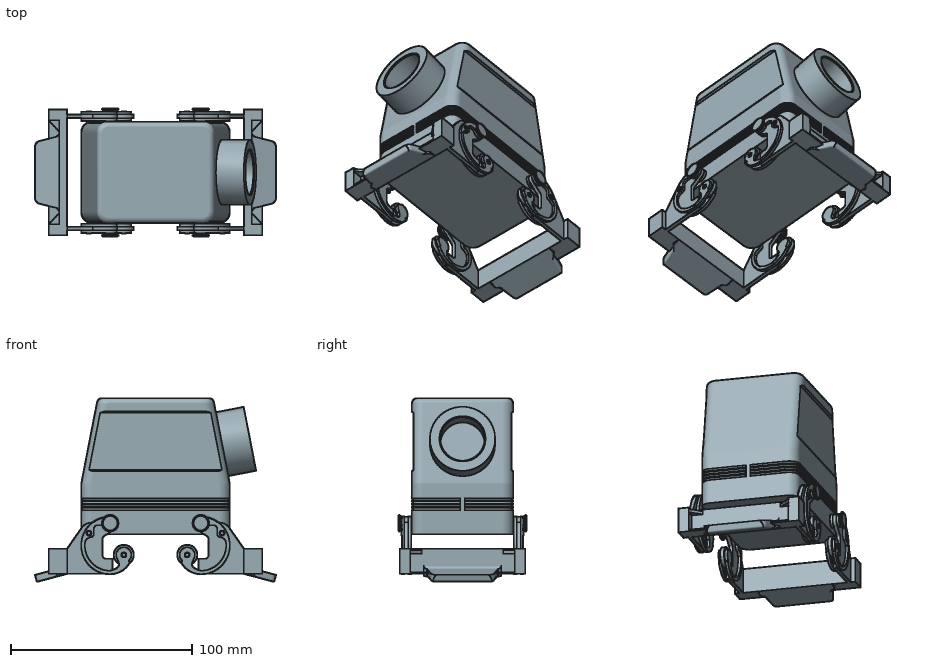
import math

import cadquery as cq


SELECT_MARGIN = 0.1

HOOD_LENGTH = 82.0
HOOD_WIDTH = 56.0
HOOD_BOTTOM = 21.8
HOOD_TOP = 97.0
HOOD_CORNER_RADIUS = 6.0
HOOD_TOP_RADIUS = 3.0
TAPER_START = 50.0
TAPER_ANGLE = 11.0
TAPER_BLEND_RADIUS = 5.0

RECESS_DEPTH = 0.9
RECESS_BOTTOM = 56.6
RECESS_TOP = 89.7

GROOVE_COUNT = 4
GROOVE_RADIUS = 0.6
GROOVE_PITCH = 1.8
GROOVE_FIRST_Z = 35.8
GROOVE_GAP = 2.5

COLLAR_DIAMETER = 36.0
COLLAR_LENGTH = 15.6
COLLAR_HEIGHT_ON_FACE = 22.0
COLLAR_ROOT = 5.0
BORE_DIAMETER = 24.4
BORE_CHAMFER = 0.55

BAR_OUTER_X = 59.0
BAR_INNER_X = 48.8
BAR_WIDTH = 69.4
BAR_HEIGHT = 13.9
POCKET_DEPTH = 6.0
POCKET_WIDTH = 57.5
POCKET_FLOOR = 0.9
GUSSET_BOTTOM = 11.15
GUSSET_THICKNESS = 1.85
GUSSET_LENGTH = 6.4

TAB_ANGLE = 15.0
TAB_TIP_X = 66.53
TAB_THICKNESS = 4.1
TAB_ROOT_WIDTH = 40.0
TAB_TIP_WIDTH = 33.6
TAB_CORNER_RADIUS = 3.5
TAB_EDGE_RADIUS = 1.0
TAB_FLARE_LENGTH = 1.5
TAB_FLARE_WIDTH = 1.8
TAB_ROOT_FILLET = 1.7

PLATE_INNER_Y = 29.9
PLATE_OUTER_Y = 32.05
CHEEK_INNER_Y = 28.25
CHEEK_OUTER_Y = 33.5

SLOPE_END = (-40.9, 25.3)
SHOULDER_MID = (-38.4, 27.5)
SHOULDER_END_X = -34.5
NOTCH_TOP_START = (-23.0, 24.4)
NOTCH_TOP_Z = 20.2
NOTCH_BACK_X = -29.2
NOTCH_FLOOR_Z = 8.4
NOTCH_TOE_X = -23.7
NOTCH_RADIUS = 2.0

LEVER_X = 25.0
CHEEK_RADIUS = 16.0
CHEEK_CENTRE_Z = 15.75
CHEEK_RIM = 2.0
PLATE_RADIUS = 15.8
PIVOT_Z = 28.0
LUG_RADIUS = CHEEK_CENTRE_Z + CHEEK_RADIUS - PIVOT_Z

HOOK_OUTER_MID = (-18.0, 2.0)
HOOK_OUTER_END = (-14.1, 6.4)
HOOK_THROAT_TOP = (-20.9, 7.6)
HOOK_THROAT_MID = (-20.2, 6.2)
HOOK_THROAT_BOTTOM = (-21.4, 3.2)
RIM_INNER_MID = (-36.0, 7.1)
RIM_INNER_END = (-38.8, 18.0)
RIVET_PAD_ENTRY = (-37.6, 19.5)
RIVET_PAD_BOTTOM = (-35.6, 20.2)
RIVET_PAD_MID = (-34.4, 21.0)
RIVET_PAD_SIDE = (-34.0, 22.6)
BAND_CORNER_Z = 24.9
BAND_CORNER_MID = (-33.4, 26.3)
BAND_CORNER_X = -32.0
BAND_BOTTOM_Z = 26.9

ROLLER_X = 17.5
ROLLER_Z = 10.5
ROLLER_RADIUS = 5.6
ROLLER_CHEEK_RADIUS = 4.2

PIN_RADIUS = 2.7
PIN_EMBEDMENT = 1.0
PIN_ROOT_Y = HOOD_WIDTH / 2 - PIN_EMBEDMENT
PIN_HEAD_RADIUS = 4.6
PIN_HEAD_BOTTOM_Y = 34.2
PIN_HEAD_CHAMFER = 0.6
PIN_END_Y = 35.5
RIVET_RADIUS = 1.4
RIVET_HEIGHT = 0.35
RIVET_CHAMFER = 0.3
RIVET_X = 36.7
RIVET_Z = 22.5


def slab(profile, inner_y, outer_y):
    """Extrude a closed XZ profile between two distances on the -Y side."""
    return profile.extrude(outer_y - inner_y).translate((0, -inner_y, 0))


def disc(x, z, radius, inner_y, outer_y):
    return slab(cq.Workplane("XZ").center(x, z).circle(radius), inner_y, outer_y)


def make_hood_block():
    half = HOOD_LENGTH / 2
    inset = (HOOD_TOP - TAPER_START) * math.tan(math.radians(TAPER_ANGLE))
    block = (
        cq.Workplane("XZ")
        .polyline(
            [
                (-half, HOOD_BOTTOM),
                (half, HOOD_BOTTOM),
                (half, TAPER_START),
                (half - inset, HOOD_TOP),
                (inset - half, HOOD_TOP),
                (-half, TAPER_START),
            ]
        )
        .close()
        .extrude(HOOD_WIDTH / 2, both=True)
    )
    break_box = cq.selectors.BoxSelector(
        (-half - SELECT_MARGIN, -HOOD_WIDTH, TAPER_START - SELECT_MARGIN),
        (half + SELECT_MARGIN, HOOD_WIDTH, TAPER_START + SELECT_MARGIN),
    )
    block = block.edges("|Y").edges(break_box).fillet(TAPER_BLEND_RADIUS)
    block = block.faces("<Y or >Y").edges("not(#Z)").fillet(HOOD_CORNER_RADIUS)
    return block.faces(">Z").edges().fillet(HOOD_TOP_RADIUS)


def cut_recesses(hood):
    """Cut a flat panel with 45 degree ends into both broad sides."""
    face_y = HOOD_WIDTH / 2
    floor_y = face_y - RECESS_DEPTH
    cutter = (
        cq.Workplane("YZ")
        .polyline(
            [
                (-face_y, RECESS_BOTTOM),
                (-floor_y, RECESS_BOTTOM + RECESS_DEPTH),
                (-floor_y, RECESS_TOP - RECESS_DEPTH),
                (-face_y, RECESS_TOP),
            ]
        )
        .close()
        .extrude(HOOD_LENGTH / 2, both=True)
    )
    return hood.cut(cutter).cut(cutter.mirror("XZ"))


def make_groove(z):
    """Half of a round groove: from one end face around a broad side to the other."""
    x = HOOD_LENGTH / 2
    y = HOOD_WIDTH / 2
    r = HOOD_CORNER_RADIUS
    diagonal = r * (1 - math.sqrt(0.5))
    path = (
        cq.Workplane("XY", origin=(0, 0, z))
        .moveTo(-x, -GROOVE_GAP / 2)
        .lineTo(-x, r - y)
        .threePointArc((diagonal - x, diagonal - y), (r - x, -y))
        .lineTo(x - r, -y)
        .threePointArc((x - diagonal, diagonal - y), (x, r - y))
        .lineTo(x, -GROOVE_GAP / 2)
    )
    section = cq.Workplane("XZ", origin=(-x, -GROOVE_GAP / 2, z)).circle(GROOVE_RADIUS)
    return section.sweep(path)


def cut_grooves(hood):
    for index in range(GROOVE_COUNT):
        groove = make_groove(GROOVE_FIRST_Z + index * GROOVE_PITCH)
        hood = hood.cut(groove).cut(groove.mirror("XZ"))
    return hood


def add_collar(hood):
    angle = math.radians(TAPER_ANGLE)
    axis = cq.Vector(math.cos(angle), 0, math.sin(angle))
    up_face = cq.Vector(-math.sin(angle), 0, math.cos(angle))
    face_centre = cq.Vector(HOOD_LENGTH / 2, 0, TAPER_START) + up_face * COLLAR_HEIGHT_ON_FACE
    plane = cq.Plane(face_centre, xDir=(0, 1, 0), normal=axis)
    collar = (
        cq.Workplane(plane)
        .workplane(offset=-COLLAR_ROOT)
        .circle(COLLAR_DIAMETER / 2)
        .extrude(COLLAR_ROOT + COLLAR_LENGTH)
    )
    bore = cq.Workplane(plane).circle(BORE_DIAMETER / 2).extrude(COLLAR_LENGTH)
    hood = hood.union(collar).cut(bore)
    mouth = (
        cq.Workplane(plane)
        .workplane(offset=COLLAR_LENGTH - BORE_CHAMFER)
        .circle(BORE_DIAMETER / 2)
        .workplane(offset=BORE_CHAMFER)
        .circle(BORE_DIAMETER / 2 + BORE_CHAMFER)
        .loft()
    )
    return hood.cut(mouth)


def make_tab():
    """Sloping finger tab with a tapered plan shape and rounded tip corners."""
    root_x = BAR_OUTER_X - POCKET_DEPTH
    slope = math.tan(math.radians(TAB_ANGLE))
    drop = TAB_THICKNESS / math.cos(math.radians(TAB_ANGLE))
    tip_drop = TAB_THICKNESS * math.sin(math.radians(TAB_ANGLE))
    tip_bottom_z = -(TAB_TIP_X - tip_drop - BAR_INNER_X) * slope
    tip_top_z = tip_bottom_z + TAB_THICKNESS * math.cos(math.radians(TAB_ANGLE))
    root_top_z = -(root_x - BAR_INNER_X) * slope + drop
    side = (
        cq.Workplane("XZ")
        .polyline(
            [
                (-BAR_INNER_X, 0),
                (tip_drop - TAB_TIP_X, tip_bottom_z),
                (-TAB_TIP_X, tip_top_z),
                (-root_x, root_top_z),
                (-root_x, 0),
            ]
        )
        .close()
        .extrude(BAR_WIDTH / 2, both=True)
    )
    spread = (TAB_ROOT_WIDTH - TAB_TIP_WIDTH) / 2 / (TAB_TIP_X - root_x)
    flare_x = root_x + TAB_FLARE_LENGTH
    flare_start = TAB_ROOT_WIDTH / 2 - spread * TAB_FLARE_LENGTH
    flare_end = flare_start + TAB_FLARE_WIDTH
    plan = (
        cq.Workplane("XY")
        .workplane(offset=-BAR_HEIGHT)
        .polyline(
            [
                (-BAR_INNER_X, flare_end),
                (-root_x, flare_end),
                (-flare_x, flare_start),
                (-TAB_TIP_X, TAB_TIP_WIDTH / 2),
                (-TAB_TIP_X, -TAB_TIP_WIDTH / 2),
                (-flare_x, -flare_start),
                (-root_x, -flare_end),
                (-BAR_INNER_X, -flare_end),
            ]
        )
        .close()
        .extrude(2 * BAR_HEIGHT)
        .edges("|Z and <X")
        .fillet(TAB_CORNER_RADIUS)
    )
    tab = side.intersect(plan)
    underside = cq.selectors.NearestToPointSelector((-flare_x, 0, -(flare_x - BAR_INNER_X) * slope))
    free_edges = cq.selectors.BoxSelector(
        (-TAB_TIP_X - SELECT_MARGIN, -BAR_WIDTH, -BAR_HEIGHT), (-flare_x, BAR_WIDTH, 0)
    )
    return tab.faces(underside).edges(free_edges).fillet(TAB_EDGE_RADIUS)


def make_bar():
    bar = cq.Workplane("XY").box(
        BAR_OUTER_X - BAR_INNER_X, BAR_WIDTH, BAR_HEIGHT, centered=(False, True, False)
    )
    bar = bar.translate((-BAR_OUTER_X, 0, 0))
    pocket = cq.Workplane("XY").box(POCKET_DEPTH, POCKET_WIDTH, BAR_HEIGHT, centered=(False, True, False))
    bar = bar.cut(pocket.translate((-BAR_OUTER_X, 0, POCKET_FLOOR)))

    wall_x = POCKET_DEPTH - BAR_OUTER_X
    side_y = -POCKET_WIDTH / 2
    gusset = (
        cq.Workplane("XY")
        .workplane(offset=GUSSET_BOTTOM)
        .polyline([(wall_x, side_y), (-BAR_OUTER_X, side_y), (wall_x, side_y + GUSSET_LENGTH)])
        .close()
        .extrude(GUSSET_THICKNESS)
    )
    bar = bar.union(gusset).union(gusset.mirror("XZ"))

    bar = bar.union(make_tab())
    root_box = cq.selectors.BoxSelector(
        (wall_x - SELECT_MARGIN, -TAB_ROOT_WIDTH, POCKET_FLOOR + SELECT_MARGIN),
        (wall_x + SELECT_MARGIN, TAB_ROOT_WIDTH, GUSSET_BOTTOM - SELECT_MARGIN),
    )
    return bar.edges("|Y").edges(root_box).fillet(TAB_ROOT_FILLET)


def plate_rim_point(x):
    """Point at the given X on the upper half of the plate's round rim."""
    return (x, CHEEK_CENTRE_Z + math.sqrt(PLATE_RADIUS**2 - (x + LEVER_X) ** 2))


def make_plate():
    """Flat lever arm between the cross bar and the pivot, with an open notch."""
    profile = (
        cq.Workplane("XZ")
        .moveTo(-BAR_INNER_X, 0)
        .lineTo(-BAR_INNER_X, BAR_HEIGHT)
        .lineTo(*SLOPE_END)
        .threePointArc(SHOULDER_MID, plate_rim_point(SHOULDER_END_X))
        .threePointArc(plate_rim_point((SHOULDER_END_X - LEVER_X) / 2), plate_rim_point(-LEVER_X))
        .threePointArc((LUG_RADIUS - LEVER_X, PIVOT_Z), NOTCH_TOP_START)
        .lineTo(NOTCH_BACK_X, NOTCH_TOP_Z)
        .lineTo(NOTCH_BACK_X, NOTCH_FLOOR_Z)
        .lineTo(NOTCH_TOE_X, NOTCH_FLOOR_Z)
        .lineTo(NOTCH_TOE_X, 0)
        .close()
    )
    plate = slab(profile, PLATE_INNER_Y, PLATE_OUTER_Y)
    notch_corners = cq.selectors.BoxSelector(
        (NOTCH_BACK_X - SELECT_MARGIN, -PLATE_OUTER_Y, NOTCH_FLOOR_Z - SELECT_MARGIN),
        (NOTCH_BACK_X + SELECT_MARGIN, -PLATE_INNER_Y, NOTCH_TOP_Z + SELECT_MARGIN),
    )
    return plate.edges("|Y").edges(notch_corners).fillet(NOTCH_RADIUS)


def make_cheek(inner_y, outer_y):
    """Hook-shaped cheek: a crescent rim from the pivot lug down and around to the roller."""
    rim_radius = CHEEK_RADIUS - CHEEK_RIM
    profile = (
        cq.Workplane("XZ")
        .moveTo(-LEVER_X, CHEEK_CENTRE_Z + CHEEK_RADIUS)
        .threePointArc(
            (-LEVER_X - CHEEK_RADIUS, CHEEK_CENTRE_Z), (-LEVER_X, CHEEK_CENTRE_Z - CHEEK_RADIUS)
        )
        .threePointArc(HOOK_OUTER_MID, HOOK_OUTER_END)
        .lineTo(-ROLLER_X, ROLLER_Z)
        .lineTo(*HOOK_THROAT_TOP)
        .threePointArc(HOOK_THROAT_MID, HOOK_THROAT_BOTTOM)
        .lineTo(-LEVER_X, CHEEK_CENTRE_Z - rim_radius)
        .threePointArc(RIM_INNER_MID, RIM_INNER_END)
        .threePointArc(RIVET_PAD_ENTRY, RIVET_PAD_BOTTOM)
        .threePointArc(RIVET_PAD_MID, RIVET_PAD_SIDE)
        .lineTo(RIVET_PAD_SIDE[0], BAND_CORNER_Z)
        .threePointArc(BAND_CORNER_MID, (BAND_CORNER_X, BAND_BOTTOM_Z))
        .lineTo(-LEVER_X, BAND_BOTTOM_Z)
        .close()
    )
    cheek = slab(profile, inner_y, outer_y)
    cheek = cheek.union(disc(-LEVER_X, PIVOT_Z, LUG_RADIUS, inner_y, outer_y))
    return cheek.union(disc(-ROLLER_X, ROLLER_Z, ROLLER_CHEEK_RADIUS, inner_y, outer_y))


def make_rivet(x, z):
    head = disc(x, z, RIVET_RADIUS, CHEEK_OUTER_Y, CHEEK_OUTER_Y + RIVET_HEIGHT)
    return head.faces("<Y").chamfer(RIVET_CHAMFER)


def make_lever_arm():
    arm = make_plate()
    arm = arm.union(make_cheek(CHEEK_INNER_Y, PLATE_INNER_Y))
    arm = arm.union(make_cheek(PLATE_OUTER_Y, CHEEK_OUTER_Y))
    arm = arm.union(disc(-ROLLER_X, ROLLER_Z, ROLLER_RADIUS, PLATE_INNER_Y, PLATE_OUTER_Y))
    arm = arm.union(disc(-LEVER_X, PIVOT_Z, PIN_RADIUS, PIN_ROOT_Y, PIN_HEAD_BOTTOM_Y))
    head = disc(-LEVER_X, PIVOT_Z, PIN_HEAD_RADIUS, PIN_HEAD_BOTTOM_Y, PIN_END_Y)
    arm = arm.union(head.faces("<Y or >Y").chamfer(PIN_HEAD_CHAMFER))
    arm = arm.union(make_rivet(-RIVET_X, RIVET_Z))
    return arm.union(make_rivet(-ROLLER_X, ROLLER_Z))


def make_lever():
    arm = make_lever_arm()
    return make_bar().union(arm).union(arm.mirror("XZ"))


hood = make_hood_block()
hood = cut_recesses(hood)
hood = cut_grooves(hood)
hood = add_collar(hood)
lever = make_lever()
result = hood.union(lever).union(lever.mirror("YZ"))